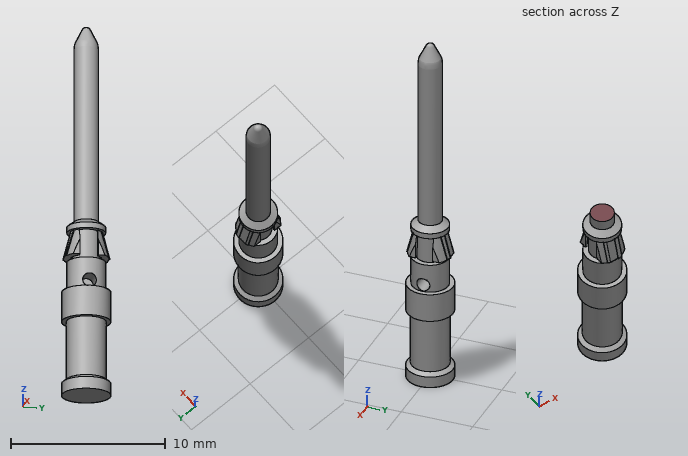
import cadquery as cq
import math

PIN_D = 1.6
NECK_D = 1.8
SHOULDER_D = 2.52
BARREL_D = 2.6
COLLAR_D = 3.2
CONE_BASE_D = 1.45
CONE_TIP_D = 0.55

RIM_TOP = 0.8
RIM_CHAMFER_TOP = 1.02
COLLAR_BOTTOM = 5.0
COLLAR_TOP = 7.0
NECK_BOTTOM = 9.02
FLANGE_BOTTOM = 11.02
FLANGE_EDGE_TOP = 11.4
FLANGE_TOP = 11.75
PIN_TOP = 23.48
CONE_BASE = 23.92
CONE_TOP = 24.82
LENGTH = 25.0

HOLE_D = 0.9
HOLE_Z = 7.5

WING_BOTTOM = 9.28
WING_TOP_R = 1.08
WING_BOTTOM_R = 1.52
WING_INNER_BOTTOM_R = 1.0
FLANK_STEP = 0.05
WING_LEFT = -0.92
WING_RIGHT = 1.05
WING_INNER_Y = 0.6
CREST_LEFT = -0.6
CREST_RIGHT = 0.52
FACET_LEFT = -0.42
FACET_RIGHT = 0.18


def turned_body():
    """Revolve the stepped half profile, with rounded blends at both ends of the tip cone."""
    cone_slope = (CONE_BASE_D - CONE_TIP_D) / 2 / (CONE_TOP - CONE_BASE)
    cap_height = LENGTH - CONE_TOP
    cap_radius = ((CONE_TIP_D / 2) ** 2 + cap_height**2) / (2 * cap_height)
    half_angle = math.asin(CONE_TIP_D / 2 / cap_radius) / 2
    cap_middle_z = LENGTH - cap_radius * (1 - math.cos(half_angle))
    return (
        cq.Workplane("XZ")
        .lineTo(COLLAR_D / 2, 0)
        .lineTo(COLLAR_D / 2, RIM_TOP)
        .lineTo(BARREL_D / 2, RIM_CHAMFER_TOP)
        .lineTo(BARREL_D / 2, COLLAR_BOTTOM)
        .lineTo(COLLAR_D / 2, COLLAR_BOTTOM)
        .lineTo(COLLAR_D / 2, COLLAR_TOP)
        .lineTo(SHOULDER_D / 2, COLLAR_TOP)
        .lineTo(SHOULDER_D / 2, NECK_BOTTOM)
        .lineTo(NECK_D / 2, NECK_BOTTOM)
        .lineTo(NECK_D / 2, FLANGE_BOTTOM)
        .lineTo(SHOULDER_D / 2, FLANGE_BOTTOM)
        .lineTo(SHOULDER_D / 2, FLANGE_EDGE_TOP)
        .lineTo(PIN_D / 2, FLANGE_TOP)
        .lineTo(PIN_D / 2, PIN_TOP)
        .spline(
            [(CONE_BASE_D / 2, CONE_BASE)],
            tangents=[(0, 1), (-cone_slope, 1)],
            includeCurrent=True,
        )
        .lineTo(CONE_TIP_D / 2, CONE_TOP)
        .threePointArc((cap_radius * math.sin(half_angle), cap_middle_z), (0, LENGTH))
        .close()
        .revolve(360, (0, 0), (0, 1))
    )


def flared_skirt(step):
    """Hollow cone under the flange, its outside set inward by the given step."""
    return (
        cq.Workplane("XZ")
        .moveTo(NECK_D / 2, FLANGE_BOTTOM)
        .lineTo(WING_TOP_R - step, FLANGE_BOTTOM)
        .lineTo(WING_BOTTOM_R - step, WING_BOTTOM)
        .lineTo(WING_INNER_BOTTOM_R, WING_BOTTOM)
        .close()
        .revolve(360, (0, 0), (0, 1))
    )


def wing_block(left, right):
    """Block limiting the +Y part of the skirt between two X positions."""
    return (
        cq.Workplane("XY")
        .box(right - left, COLLAR_D / 2, FLANGE_BOTTOM - WING_BOTTOM, centered=False)
        .translate((left, WING_INNER_Y, WING_BOTTOM))
    )


def facet_cutter():
    """Material outside the sloping flat on the crest of the wing."""
    widest_offset = max(abs(FACET_LEFT), abs(FACET_RIGHT))
    top_y = math.sqrt(WING_TOP_R**2 - widest_offset**2)
    bottom_y = math.sqrt(WING_BOTTOM_R**2 - widest_offset**2)
    return (
        cq.Workplane("YZ", origin=(FACET_LEFT, 0, 0))
        .moveTo(top_y, FLANGE_BOTTOM)
        .lineTo(bottom_y, WING_BOTTOM)
        .lineTo(COLLAR_D, WING_BOTTOM)
        .lineTo(COLLAR_D, FLANGE_BOTTOM)
        .close()
        .extrude(FACET_RIGHT - FACET_LEFT)
    )


def wing():
    """Wing on the +Y side: stepped-back flanks around a raised, faceted crest."""
    flanks = flared_skirt(FLANK_STEP).intersect(wing_block(WING_LEFT, WING_RIGHT))
    crest = flared_skirt(0).intersect(wing_block(CREST_LEFT, CREST_RIGHT))
    return flanks.union(crest).cut(facet_cutter())


def cross_hole():
    """Radial hole from the +X surface of the shoulder to the pin axis."""
    return cq.Workplane("YZ", origin=(0, 0, HOLE_Z)).circle(HOLE_D / 2).extrude(COLLAR_D / 2)


rear_wing = wing()
front_wing = rear_wing.mirror("XZ")
result = turned_body().union(rear_wing).union(front_wing).cut(cross_hole())